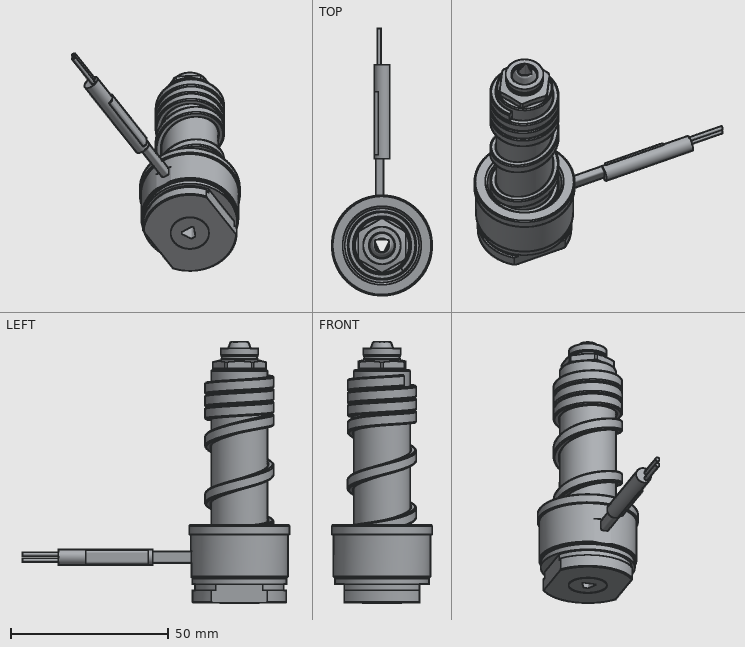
import math
import cadquery as cq

total_height = 83.2
core_radius = 9.0
core_top = 74.3
core_chamfer = 0.45
core_neck_radius = 7.1
hex_bottom = 74.7
hex_corner_top = 76.7
hex_across_flats = 15.1
hex_corner_radius = 8.5
collar_radius = 5.8
collar_bottom = 77.4
collar_groove_radius = 5.65
collar_groove_bottom = 77.75
collar_groove_top = 78.5
head_radius = 6.0
head_bottom = 79.0
head_top = 81.1

recess_radius = 4.2
recess_depth = 1.0
dome_foot_radius = 3.95
dome_mid_radius = 3.5
dome_mid_height = 0.3
dome_shoulder_radius = 3.05
dome_shoulder_drop = 0.55
dome_top_radius = 2.3

mouth_radius = dome_top_radius
mouth_throat_radius = 1.9
mouth_depth = 0.4
passage_wide_half = 2.6
passage_wide_y = 1.8
passage_narrow_half = 0.75
passage_narrow_y = -2.0
passage_wide_rounding = 0.6
passage_narrow_rounding = 0.3

tip_radius = 6.1
base_bottom = 0.2
base_radius = 14.95
base_top = 4.2
base_chamfer = 0.3
base_neck_radius = 14.15
base_flats = 24.0
lower_rim_radius = 15.0
lower_rim_bottom = 6.15
cup_bottom = 8.4
cup_radius = 15.5
cup_rim_radius = 16.0
cup_rim_bottom = 21.8
cup_top = 25.0
edge_break = 0.25
rim_chamfer = 0.4
cable_flat_y = 15.25
cable_flat_top = 16.6
bore_radius = 11.8
bore_chamfer = 0.7

coil_inner_radius = core_radius - 0.1
coil_outer_radius = 10.95
coil_height = 3.7
coil_chamfer = 0.42
coil_top = 72.65
coil_top_angle = -50.0
closed_pitch = 4.0
open_pitch = 18.15
closed_sweep = 1097.5
transition_sweep = 129.0
transition_drop = 3.4
open_sweep = 576.0
coil_point_step = 10.0

lead_height = 14.7
cable_x_min = -2.0
cable_thickness = 2.55
cable_width = 3.7
cable_rounding = 0.6
cable_root = 13.5
sleeve_radius = 2.5
sleeve_start = 27.5
sleeve_end = 57.5
pad_start = 28.9
pad_length = 20.0
pad_width = 4.6
pad_depth = 1.3
pad_rounding = 1.0
wire_radius = 0.65
wire_x = -0.9
wire_spacing = 1.9
wire_end = 69.0


def revolve_profile(points):
    """Turn a closed (radius, height) outline around the Z axis."""
    return cq.Workplane("XZ").polyline(points).close().revolve(360, (0, 0, 0), (0, 1, 0))


def cylinder(radius, bottom, top):
    return cq.Workplane("XY").workplane(offset=bottom).circle(radius).extrude(top - bottom)


def make_coil_stretches():
    """Coil stretches from the upper end down, each as (sweep, drop, start pitch, end pitch)."""
    closed_drop = closed_pitch * closed_sweep / 360
    open_drop = open_pitch * open_sweep / 360
    closed = (closed_sweep, closed_drop, closed_pitch, closed_pitch)
    opening = (transition_sweep, transition_drop, closed_pitch, open_pitch)
    stretched = (open_sweep, open_drop, open_pitch, open_pitch)
    closing = (transition_sweep, transition_drop, open_pitch, closed_pitch)
    return [closed, opening, stretched, closing, closed]


coil_stretches = make_coil_stretches()
coil_bottom = coil_top - sum(stretch[1] for stretch in coil_stretches) - coil_height
cup_floor = coil_bottom + coil_chamfer


def stretch_drop(stretch, t):
    """Drop after the fraction t of a stretch: a cubic that meets the pitch at both ends."""
    sweep, drop, start_pitch, end_pitch = stretch
    start_slope = start_pitch * sweep / 360
    end_slope = end_pitch * sweep / 360
    return (
        start_slope * (t**3 - 2 * t**2 + t)
        + drop * (3 * t**2 - 2 * t**3)
        + end_slope * (t**3 - t**2)
    )


def coil_section():
    """Corners of the chamfered strip section as (radius, distance below the upper face)."""
    return [
        (coil_inner_radius, coil_chamfer),
        (coil_inner_radius + coil_chamfer, 0),
        (coil_outer_radius - coil_chamfer, 0),
        (coil_outer_radius, coil_chamfer),
        (coil_outer_radius, coil_height - coil_chamfer),
        (coil_outer_radius - coil_chamfer, coil_height),
        (coil_inner_radius + coil_chamfer, coil_height),
        (coil_inner_radius, coil_height - coil_chamfer),
    ]


def coil_point(radius, angle, height):
    turn = math.radians(angle)
    return cq.Vector(radius * math.cos(turn), radius * math.sin(turn), height)


def coil_edge(corner, stretch, start_angle, start_height):
    radius, below = corner
    sweep = stretch[0]
    count = math.ceil(sweep / coil_point_step)
    points = []
    for i in range(count + 1):
        t = i / count
        height = start_height - stretch_drop(stretch, t) - below
        points.append(coil_point(radius, start_angle - t * sweep, height))
    return cq.Edge.makeSpline(points)


def coil_cap(angle, height):
    corners = [coil_point(radius, angle, height - below) for radius, below in coil_section()]
    return cq.Face.makeFromWires(cq.Wire.makePolygon(corners, close=True))


def make_coil():
    """Right-handed strip with closed turns at both ends and open turns between."""
    angle = coil_top_angle
    height = coil_top
    faces = [coil_cap(angle, height)]
    for stretch in coil_stretches:
        edges = [coil_edge(corner, stretch, angle, height) for corner in coil_section()]
        for i, edge in enumerate(edges):
            faces.append(cq.Face.makeRuledSurface(edges[i - 1], edge))
        angle -= stretch[0]
        height -= stretch[1]
    faces.append(coil_cap(angle, height))
    solid = cq.Solid.makeSolid(cq.Shell.makeShell(faces))
    return cq.Workplane(cq.Solid(solid.fix().wrapped))


def make_cable_flat():
    """Shallow flat on the +Y side of the cup wall, where the lead enters."""
    return (
        cq.Workplane("XY")
        .box(2 * cup_radius, cup_radius, cable_flat_top - cup_bottom, centered=(True, False, False))
        .translate((0, cable_flat_y, cup_bottom))
    )


def make_cup():
    outline = [
        (0, base_bottom),
        (base_radius - base_chamfer, base_bottom),
        (base_radius, base_bottom + base_chamfer),
        (base_radius, base_top),
        (base_neck_radius, base_top),
        (base_neck_radius, lower_rim_bottom),
        (lower_rim_radius, lower_rim_bottom),
        (lower_rim_radius, cup_bottom - 2 * edge_break),
        (lower_rim_radius - edge_break, cup_bottom - edge_break),
        (lower_rim_radius - edge_break, cup_bottom),
        (cup_radius - edge_break, cup_bottom),
        (cup_radius, cup_bottom + edge_break),
        (cup_radius, cup_rim_bottom),
        (cup_rim_radius - edge_break, cup_rim_bottom),
        (cup_rim_radius, cup_rim_bottom + edge_break),
        (cup_rim_radius, cup_top - rim_chamfer),
        (cup_rim_radius - rim_chamfer, cup_top),
        (bore_radius + bore_chamfer, cup_top),
        (bore_radius, cup_top - bore_chamfer),
        (bore_radius, cup_floor),
        (0, cup_floor),
    ]
    cup = revolve_profile(outline)
    slab_size = 4 * base_radius
    flats = cq.Workplane("XY").rect(slab_size, slab_size).rect(base_flats, slab_size)
    cup = cup.cut(flats.extrude(lower_rim_bottom)).cut(make_cable_flat())
    return cup.union(cylinder(tip_radius, 0, cup_floor))


def make_core():
    outline = [
        (0, base_bottom),
        (core_radius, base_bottom),
        (core_radius, core_top - core_chamfer),
        (core_radius - core_chamfer, core_top),
        (core_neck_radius, core_top),
        (core_neck_radius, hex_bottom),
        (collar_radius, hex_bottom),
        (collar_radius, collar_groove_bottom),
        (collar_groove_radius, collar_groove_bottom),
        (collar_groove_radius, collar_groove_top),
        (collar_radius, collar_groove_top),
        (collar_radius, head_bottom),
        (head_radius, head_bottom),
        (head_radius, head_top),
        (recess_radius, head_top),
        (recess_radius, head_top - recess_depth),
        (0, head_top - recess_depth),
    ]
    return revolve_profile(outline)


def make_hexagon():
    across_corners = hex_across_flats / math.cos(math.pi / 6)
    prism = (
        cq.Workplane("XY")
        .workplane(offset=hex_bottom)
        .transformed(rotate=(0, 0, 90))
        .polygon(6, across_corners)
        .extrude(collar_bottom - hex_bottom)
    )
    crown = revolve_profile([
        (0, hex_bottom),
        (hex_corner_radius, hex_bottom),
        (hex_corner_radius, hex_corner_top),
        (collar_radius, collar_bottom),
        (0, collar_bottom),
    ])
    return prism.intersect(crown)


def make_dome():
    foot = head_top - recess_depth
    shoulder = total_height - dome_shoulder_drop
    return (
        cq.Workplane("XZ")
        .moveTo(0, foot)
        .lineTo(dome_foot_radius, foot)
        .threePointArc((dome_mid_radius, head_top + dome_mid_height), (dome_shoulder_radius, shoulder))
        .tangentArcPoint((dome_top_radius, total_height), relative=False)
        .lineTo(0, total_height)
        .close()
        .revolve(360, (0, 0, 0), (0, 1, 0))
    )


def make_passage():
    """Hole with a rounded, tapering section, narrow side to -Y, under a conical mouth."""
    mouth = revolve_profile([
        (0, total_height - mouth_depth),
        (mouth_throat_radius, total_height - mouth_depth),
        (mouth_radius, total_height),
        (0, total_height),
    ])
    section = [
        (-passage_narrow_half, passage_narrow_y),
        (passage_narrow_half, passage_narrow_y),
        (passage_wide_half, passage_wide_y),
        (-passage_wide_half, passage_wide_y),
    ]
    shaft = cq.Workplane("XY").polyline(section).close().extrude(total_height)
    shaft = shaft.edges("|Z and >Y").fillet(passage_wide_rounding)
    shaft = shaft.edges("|Z and <Y").fillet(passage_narrow_rounding)
    return mouth.union(shaft)


def bar_along_y(x_min, thickness, width, start, end):
    """Rectangular bar parallel to Y, centred on the lead height."""
    bar = cq.Workplane("XY").box(thickness, end - start, width, centered=(False, False, True))
    return bar.translate((x_min, start, lead_height))


def rod_along_y(x, z, radius, start, end):
    rod = cq.Solid.makeCylinder(radius, end - start, cq.Vector(x, start, z), cq.Vector(0, 1, 0))
    return cq.Workplane(rod)


def make_lead():
    cable = bar_along_y(cable_x_min, cable_thickness, cable_width, cable_root, sleeve_start)
    cable = cable.edges("|Y").fillet(cable_rounding)
    sleeve = rod_along_y(0, lead_height, sleeve_radius, sleeve_start, sleeve_end)
    pad = bar_along_y(-sleeve_radius, pad_depth, pad_width, pad_start, pad_start + pad_length)
    pad = pad.edges("|Y and <X").fillet(pad_rounding)
    lead = cable.union(sleeve).union(pad)
    for side in (-1, 1):
        wire_z = lead_height + side * wire_spacing / 2
        lead = lead.union(rod_along_y(wire_x, wire_z, wire_radius, sleeve_end, wire_end))
    return lead


body = make_core().union(make_hexagon()).union(make_dome()).cut(make_passage())
body = body.union(make_coil())
cup = make_cup().cut(make_passage())
result = body.union(cup).union(make_lead())